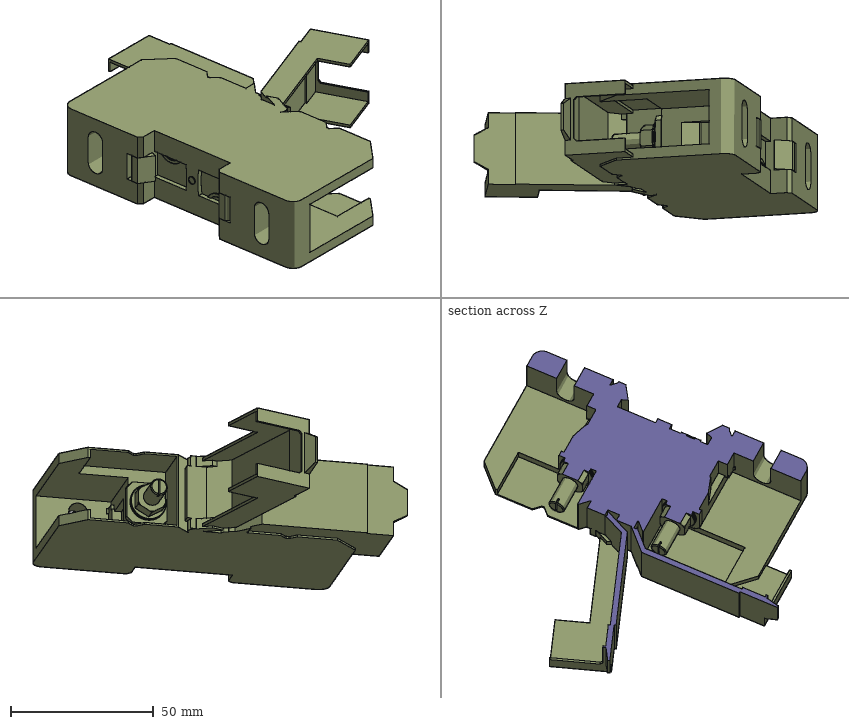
import cadquery as cq
import math


LENGTH = 106.8
HEIGHT = 50.9
HALF_WIDTH = 13.5
MID_X = LENGTH / 2
TOP_CHAMFER = 8.5
FOOT_RADIUS = 4.0
RAIL_WIDTH = 35.0
RAIL_DEPTH = 7.4
RAIL_CORNER = 1.5
VEE_CENTRE = 25.9
VEE_HALF_WIDTH = 3.0
VEE_DEPTH = 2.5
VEE_HALF_FLOOR = 0.5

CHAMBER_WALL = 3.8
CHAMBER_HALF = HALF_WIDTH - CHAMBER_WALL
CHAMBER_FLOOR = 8.4
ENTRY_END = 27.0
SHELF_TOP = 34.0
POCKET_START = 9.3
POCKET_END = 40.5
SKIN = 0.7
MOUNT_SLOT_X = 15.1
MOUNT_SLOT_WIDTH = 6.7
MOUNT_SLOT_LENGTH = 16.6
LATCH_RECESS_LOW = 13.7
LATCH_RECESS_RIDGE = 20.8
LATCH_RIDGE_STEP = 0.5
LATCH_RECESS_HIGH = 26.8
LATCH_RECESS_HALF = 4.4
LATCH_RECESS_DEPTH = 2.0
LATCH_BAR_LOW_HALF = 7.1
LATCH_BAR_HIGH_HALF = 5.2
LATCH_BAR_STEP = 12.6
LATCH_BAR_REACH = 1.0
LATCH_TOE_LENGTH = 0.6
LATCH_TOE_HEIGHT = 0.7

HINGE_X = 47.5
HINGE_Y = 47.8
HINGE_RADIUS = 2.4
TROUGH_FLOOR = 48.5
HINGE_BLOCK_START = 44.2
HINGE_BLOCK_END = 51.2
OPEN_ANGLE = 110.0

LID_HALF = HALF_WIDTH - SKIN
LID_WALL = 1.1
LID_END = -10.0
LID_END_WALL = 0.8
LID_TOP = 58.8
LID_STEP = 0.7
LID_STEP_X = -0.5
LID_CEILING = 56.6
LID_SKIRT_BOTTOM = 36.25
LID_SKIRT_END = 8.5
LID_RIM = 48.5
SLOPE_START = 37.5
SLOPE_WALL = 2.7
ARM_START = 40.8
LID_WINDOW_HALF = 7.9
LID_WINDOW_TOP = 55.0
LID_WINDOW_CHAMFER = 1.0
TAB_LENGTH = 5.05
TAB_ROOT_THICKNESS = 2.0
TAB_TIP_THICKNESS = 0.9
TAB_ROOT_HALF = 7.5
TAB_TIP_HALF = 4.75

STUD_X = 33.5
STUD_RADIUS = 3.0
STUD_TOP = 53.5
STUD_CHAMFER = 0.4
STUD_SLOT_WIDTH = 0.5
STUD_SLOT_DEPTH = 2.0
PLATE_TOP = 36.1
PLATE_HALF = 7.5
PLATE_CORNER = 2.0
WASHER_RADIUS = 6.4
WASHER_THICKNESS = 0.75
WASHER_CHAMFER = 0.15
NUT_TOP = 42.4
NUT_CORNERS = 11.2
NUT_CHAMFER = 0.4

CLIP_HALF = 5.15
CLIP_SLOT_START = 29.7
CLIP_SLOT_END = 50.5
CLIP_SLOT_BULGE = 0.35
CLIP_SLOT_ROOF = 9.2
CLIP_FOOT_START = 31.9
CLIP_FOOT_END = 34.6
CLIP_DROP = 0.14
CLIP_TIP_X = 38.2
CLIP_TIP_Y = 5.3
CLIP_TIP_TOP = 6.2
CLIP_HEEL_Y = 2.5
CLIP_EDGE_LENGTH = 0.35
CLIP_EDGE_RISE = 0.7
SPRING_X = 42.5
SPRING_Z = 8.0
SPRING_OUTER = 5.7
SPRING_INNER = 4.5
SPRING_HEIGHT = 0.5
PIN_RADIUS = 1.4
PIN_HEIGHT = 0.4


def box(x0, x1, y0, y1, half):
    """Block spanning the given X and Y ranges, centred across the width."""
    size_x = x1 - x0
    size_y = y1 - y0
    centre = ((x0 + x1) / 2, (y0 + y1) / 2, 0)
    return cq.Workplane("XY").box(size_x, size_y, 2 * half).translate(centre)


def prism(points, half):
    """XY outline extruded to both sides of the mid-plane."""
    return cq.Workplane("XY").polyline(points).close().extrude(half, both=True)


def disc(radius, y0, y1, x, z=0.0):
    """Upright cylinder between two heights."""
    axis = cq.Vector(0, 1, 0)
    return cq.Workplane(cq.Solid.makeCylinder(radius, y1 - y0, cq.Vector(x, y0, z), axis))


def mirrored(shape):
    """The same shape at the other end of the housing."""
    return shape.mirror("YZ", (MID_X, 0, 0))


def both_ends(shape):
    return shape.union(mirrored(shape))


def lid_slope_y(x):
    """Height of the lid's 45 degree outer slope at a given X."""
    return LID_TOP - (x - SLOPE_START)


def arm_underside_sum():
    """X plus Y along the arm's 45 degree underside, which is tangent to the knuckle."""
    return HINGE_X + HINGE_Y - HINGE_RADIUS * math.sqrt(2)


def hinge_arm(half):
    """Sloping arm ending in a round knuckle, solid across the given half width."""
    reach = HINGE_RADIUS * math.sqrt(0.5)
    knuckle_top = HINGE_Y + HINGE_RADIUS
    knuckle_top_x = SLOPE_START + LID_TOP - knuckle_top
    return (
        cq.Workplane("XY")
        .moveTo(ARM_START, arm_underside_sum() - ARM_START)
        .lineTo(HINGE_X - reach, HINGE_Y - reach)
        .threePointArc((HINGE_X + reach, HINGE_Y - reach), (HINGE_X, knuckle_top))
        .lineTo(knuckle_top_x, knuckle_top)
        .lineTo(ARM_START, lid_slope_y(ARM_START))
        .close()
        .extrude(half, both=True)
    )


def housing_blank():
    blank = box(0, LENGTH, 0, HEIGHT, HALF_WIDTH)
    blank = blank.edges("|Z and >Y").chamfer(TOP_CHAMFER)
    blank = blank.edges("|Z and <Y").fillet(FOOT_RADIUS)
    rail_left = MID_X - RAIL_WIDTH / 2
    rail_right = MID_X + RAIL_WIDTH / 2
    rail = prism(
        [
            (rail_left - RAIL_CORNER, 0),
            (rail_left, RAIL_CORNER),
            (rail_left, RAIL_DEPTH),
            (rail_right, RAIL_DEPTH),
            (rail_right, RAIL_CORNER),
            (rail_right + RAIL_CORNER, 0),
        ],
        HALF_WIDTH,
    )
    vee = prism(
        [
            (VEE_CENTRE - VEE_HALF_WIDTH, HEIGHT),
            (VEE_CENTRE - VEE_HALF_FLOOR, HEIGHT - VEE_DEPTH),
            (VEE_CENTRE + VEE_HALF_FLOOR, HEIGHT - VEE_DEPTH),
            (VEE_CENTRE + VEE_HALF_WIDTH, HEIGHT),
        ],
        HALF_WIDTH,
    )
    return blank.cut(rail).cut(both_ends(vee))


def chamber_cut():
    """Wire entry, lid pocket, latch recess and mounting slot of one end."""
    entry = box(0, ENTRY_END, CHAMBER_FLOOR, SHELF_TOP, CHAMBER_HALF)
    throat = box(0, POCKET_START, SHELF_TOP, HEIGHT, CHAMBER_HALF)
    pocket = box(POCKET_START, POCKET_END, SHELF_TOP, HEIGHT, LID_HALF)
    recess_back = ENTRY_END + LATCH_RECESS_DEPTH
    recess = prism(
        [
            (ENTRY_END, LATCH_RECESS_LOW),
            (recess_back + LATCH_RIDGE_STEP, LATCH_RECESS_LOW),
            (recess_back + LATCH_RIDGE_STEP, LATCH_RECESS_RIDGE - LATCH_RIDGE_STEP),
            (recess_back, LATCH_RECESS_RIDGE),
            (ENTRY_END, LATCH_RECESS_HIGH),
        ],
        LATCH_RECESS_HALF,
    )
    mount = (
        cq.Workplane("XZ", origin=(MOUNT_SLOT_X, 0, 0))
        .slot2D(MOUNT_SLOT_LENGTH, MOUNT_SLOT_WIDTH, 90)
        .extrude(-CHAMBER_FLOOR)
    )
    return entry.union(throat).union(pocket).union(recess).union(mount)


def latch_bar():
    """Stepped bar with two sloping toes at the foot of the chamber's inner wall."""
    start = ENTRY_END - LATCH_BAR_REACH
    low = box(start, ENTRY_END, CHAMBER_FLOOR, LATCH_BAR_STEP, LATCH_BAR_LOW_HALF)
    high = box(start, ENTRY_END, LATCH_BAR_STEP, LATCH_RECESS_LOW, LATCH_BAR_HIGH_HALF)
    toes = prism(
        [
            (start, CHAMBER_FLOOR),
            (start, CHAMBER_FLOOR + LATCH_TOE_HEIGHT),
            (start - LATCH_TOE_LENGTH, CHAMBER_FLOOR),
        ],
        LATCH_BAR_LOW_HALF,
    )
    toe_gap = box(
        start - LATCH_TOE_LENGTH, start, CHAMBER_FLOOR, LATCH_BAR_STEP, LATCH_BAR_HIGH_HALF
    )
    return low.union(high).union(toes.cut(toe_gap))


def hinge_trough():
    trough = box(HINGE_X, LENGTH - HINGE_X, TROUGH_FLOOR, HEIGHT, HALF_WIDTH)
    return trough.union(both_ends(hinge_arm(HALF_WIDTH)))


def hinge_block():
    floor = HINGE_Y - HINGE_RADIUS
    return box(HINGE_BLOCK_START, HINGE_BLOCK_END, floor, HEIGHT, CHAMBER_HALF)


def clip_slot():
    """Slot for a rail clip; its inner end wall is slightly bowed."""
    return (
        cq.Workplane("XZ")
        .moveTo(CLIP_SLOT_START, -CLIP_HALF)
        .lineTo(CLIP_SLOT_END, -CLIP_HALF)
        .threePointArc((CLIP_SLOT_END + CLIP_SLOT_BULGE, 0), (CLIP_SLOT_END, CLIP_HALF))
        .lineTo(CLIP_SLOT_START, CLIP_HALF)
        .close()
        .extrude(-CLIP_SLOT_ROOF)
    )


def rail_clip():
    return prism(
        [
            (CLIP_SLOT_START, CLIP_HEEL_Y),
            (CLIP_FOOT_START - CLIP_EDGE_LENGTH, CLIP_EDGE_RISE - CLIP_DROP),
            (CLIP_FOOT_START, -CLIP_DROP),
            (CLIP_FOOT_END, -CLIP_DROP),
            (CLIP_TIP_X, CLIP_TIP_Y),
            (MID_X - RAIL_WIDTH / 2, CLIP_TIP_TOP),
            (MID_X - RAIL_WIDTH / 2, CLIP_SLOT_ROOF),
            (CLIP_SLOT_START, CLIP_SLOT_ROOF),
        ],
        CLIP_HALF,
    )


def spring_seat(x, z):
    """Ring under the roof of a clip slot."""
    base = CLIP_SLOT_ROOF - SPRING_HEIGHT
    ring = disc(SPRING_OUTER, base, CLIP_SLOT_ROOF, x, z)
    return ring.cut(disc(SPRING_INNER, base, CLIP_SLOT_ROOF, x, z))


def stud():
    plate = box(
        STUD_X - PLATE_HALF, STUD_X + PLATE_HALF, SHELF_TOP, PLATE_TOP, PLATE_HALF
    ).edges("|Y").chamfer(PLATE_CORNER)
    nut_base = PLATE_TOP + 2 * WASHER_THICKNESS
    washers = cq.Workplane("XY")
    for base in (PLATE_TOP, PLATE_TOP + WASHER_THICKNESS):
        washer = disc(WASHER_RADIUS, base, base + WASHER_THICKNESS, STUD_X)
        washers = washers.add(washer.faces("<Y or >Y").edges().chamfer(WASHER_CHAMFER))
    nut = (
        cq.Workplane("XZ", origin=(STUD_X, nut_base, 0))
        .transformed(rotate=(0, 0, 90))
        .polygon(6, NUT_CORNERS)
        .extrude(nut_base - NUT_TOP)
    )
    nut_crown = disc(NUT_CORNERS / 2, nut_base, NUT_TOP, STUD_X).edges(">Y").chamfer(NUT_CHAMFER)
    nut = nut.intersect(nut_crown)
    shank = disc(STUD_RADIUS, PLATE_TOP, STUD_TOP, STUD_X).edges(">Y").chamfer(STUD_CHAMFER)
    slot = box(
        STUD_X - STUD_SLOT_WIDTH / 2,
        STUD_X + STUD_SLOT_WIDTH / 2,
        STUD_TOP - STUD_SLOT_DEPTH,
        STUD_TOP,
        STUD_RADIUS,
    )
    return plate.union(washers.combine()).union(nut).union(shank.cut(slot))


def lid_tab():
    top = LID_TOP - LID_STEP
    tip = LID_END - TAB_LENGTH
    side = prism(
        [
            (LID_END, top),
            (tip, top),
            (tip, top - TAB_TIP_THICKNESS),
            (LID_END, top - TAB_ROOT_THICKNESS),
        ],
        TAB_ROOT_HALF,
    )
    plan = (
        cq.Workplane("XZ")
        .polyline(
            [
                (LID_END, -TAB_ROOT_HALF),
                (tip, -TAB_TIP_HALF),
                (tip, TAB_TIP_HALF),
                (LID_END, TAB_ROOT_HALF),
            ]
        )
        .close()
        .extrude(-LID_TOP)
    )
    return side.intersect(plan)


def lid_hollow(half):
    slope_sum = SLOPE_START + LID_TOP - SLOPE_WALL
    return prism(
        [
            (LID_END + LID_END_WALL, 0),
            (LID_END + LID_END_WALL, LID_CEILING - LID_STEP),
            (LID_STEP_X, LID_CEILING - LID_STEP),
            (LID_STEP_X, LID_CEILING),
            (slope_sum - LID_CEILING, LID_CEILING),
            (slope_sum, 0),
        ],
        half,
    )


def lid():
    """Closed lid over the low-X terminal."""
    cover_end = arm_underside_sum() - LID_RIM
    cover = prism(
        [
            (LID_END, LID_SKIRT_BOTTOM),
            (LID_END, LID_TOP - LID_STEP),
            (LID_STEP_X, LID_TOP - LID_STEP),
            (LID_STEP_X, LID_TOP),
            (SLOPE_START, LID_TOP),
            (cover_end, lid_slope_y(cover_end)),
            (cover_end, LID_RIM),
            (LID_SKIRT_END, LID_RIM),
            (LID_SKIRT_END, LID_SKIRT_BOTTOM),
        ],
        LID_HALF,
    )
    window = box(
        LID_END, LID_END + LID_END_WALL, 0, LID_WINDOW_TOP, LID_WINDOW_HALF
    ).edges("|X and >Y").chamfer(LID_WINDOW_CHAMFER)
    cover = cover.cut(lid_hollow(LID_HALF - LID_WALL)).cut(window)
    arms = hinge_arm(HALF_WIDTH).cut(lid_hollow(CHAMBER_HALF))
    knuckle_gap = box(HINGE_X - 2 * HINGE_RADIUS, HINGE_BLOCK_END, 0, HEIGHT, CHAMBER_HALF)
    return cover.union(arms.cut(knuckle_gap)).union(lid_tab())


def open_lid():
    """Lid of the high-X terminal, swung up about its hinge."""
    hinge = LENGTH - HINGE_X
    return mirrored(lid()).rotate((hinge, HINGE_Y, 0), (hinge, HINGE_Y, 1), OPEN_ANGLE)


def housing():
    body = housing_blank().cut(hinge_trough()).cut(both_ends(chamber_cut()))
    body = body.union(both_ends(hinge_block()))
    body = body.union(both_ends(latch_bar()))
    slots = both_ends(clip_slot())
    body = body.cut(slots)
    body = body.union(both_ends(rail_clip()))
    seats = spring_seat(SPRING_X, SPRING_Z).union(spring_seat(LENGTH - SPRING_X, -SPRING_Z))
    body = body.union(seats.intersect(slots))
    body = body.union(disc(PIN_RADIUS, RAIL_DEPTH - PIN_HEIGHT, RAIL_DEPTH, MID_X))
    return body.union(both_ends(stud()))


result = housing().union(lid(), clean=False).union(open_lid(), clean=False)